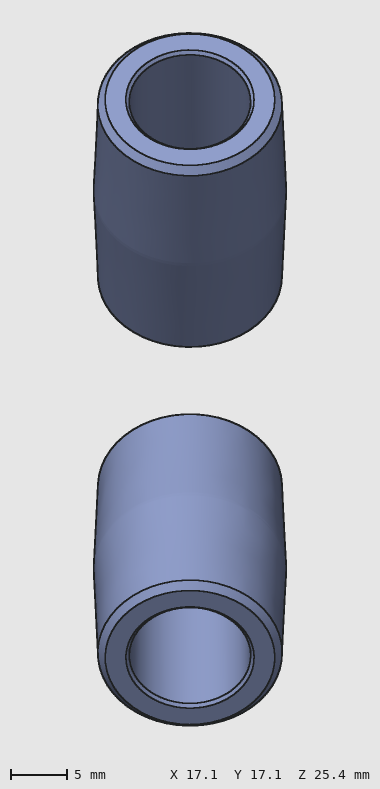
import cadquery as cq

length = 25.4
middle_diameter = 17.15
bore_diameter = 10.8
band_height = 0.4
outer_chamfer = 0.65
bore_chamfer = 0.3
taper_run_per_rise = 32

half_length = length / 2
half_band = band_height / 2
middle_radius = middle_diameter / 2
bore_radius = bore_diameter / 2

shoulder_height = half_length - outer_chamfer
end_radius = middle_radius - (shoulder_height - half_band) / taper_run_per_rise

section = (
    cq.Workplane("XZ")
    .moveTo(bore_radius, bore_chamfer - half_length)
    .lineTo(bore_radius + bore_chamfer, -half_length)
    .lineTo(end_radius - outer_chamfer, -half_length)
    .lineTo(end_radius, -shoulder_height)
    .lineTo(middle_radius, -half_band)
    .lineTo(middle_radius, half_band)
    .lineTo(end_radius, shoulder_height)
    .lineTo(end_radius - outer_chamfer, half_length)
    .lineTo(bore_radius + bore_chamfer, half_length)
    .lineTo(bore_radius, half_length - bore_chamfer)
    .close()
)
result = section.revolve(360, (0, 0, 0), (0, 1, 0))